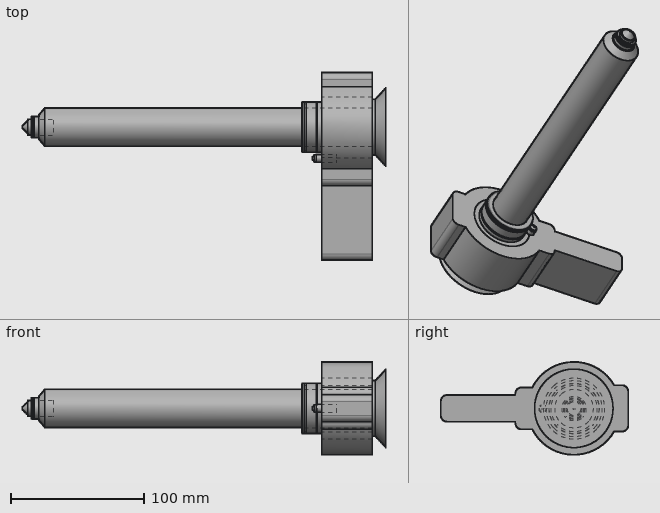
import cadquery as cq


TIP_FLAT_DIAMETER = 1.5
TIP_POINT_LENGTH = 4.5
TIP_POINT_DIAMETER = TIP_FLAT_DIAMETER + 2 * TIP_POINT_LENGTH
TIP_STEM_DIAMETER = 12.0
TIP_HEAD_START = 6.8
TIP_HEAD_FACE_DIAMETER = 15.5
TIP_HEAD_DIAMETER = 16.0
TIP_HEAD_CHAMFER_LENGTH = 0.8
TIP_TAIL_LENGTH = 11.0

SHAFT_START = 12.5
SHAFT_CONE_END = 17.2
SHAFT_NOSE_DIAMETER = 18.3
SHAFT_DIAMETER = 29.0

LEVER_START = 224.7
LEVER_WIDTH = 38.2
LEVER_END = LEVER_START + LEVER_WIDTH
HUB_DIAMETER = 70.0
BLOCK_REACH = 41.0
BLOCK_HEIGHT = 35.0
SHOULDER_REACH = 44.0
SHOULDER_HEIGHT = 31.7
HANDLE_REACH = 100.0
HANDLE_HEIGHT = 20.2
BAR_CORNER_RADIUS = 5.0

COLLAR_START = 210.0
COLLAR_FACE_DIAMETER = 36.0
COLLAR_DIAMETER = 38.0
COLLAR_CHAMFER_LENGTH = 0.3
COLLAR_GROOVE_START = 220.5
COLLAR_GROOVE_WIDTH = 0.8
COLLAR_GROOVE_DEPTH = 0.3

TIP_RING_START = 8.5
TIP_RING_WIDTH = 0.8
TIP_RING_THICKNESS = 0.8
COLLAR_RING_START = 211.5
COLLAR_RING_WIDTH = 1.6
COLLAR_RING_THICKNESS = 1.6

BUSHING_DIAMETER = 46.0
CAP_NECK_LENGTH = 2.2
CAP_NECK_DIAMETER = 42.0
CAP_FLARE_DIAMETER = 59.0
CAP_END = 273.0

PIN_OFFSET = 23.5
PIN_START = 217.5
PIN_TIP_DIAMETER = 1.5
PIN_POINT_END = 219.2
PIN_POINT_DIAMETER = 5.0
PIN_NOSE_END = 220.5
PIN_NOSE_DIAMETER = 5.7
PIN_DIAMETER = 6.0
PIN_HOLE_DEPTH = 11.0
PIN_END = LEVER_START + PIN_HOLE_DEPTH


def turned(profile):
    """Solid of revolution about X from (x, diameter) pairs; the profile is closed along the axis."""
    outline = [(profile[0][0], 0)]
    outline += [(x, diameter / 2) for x, diameter in profile]
    outline += [(profile[-1][0], 0)]
    return cq.Workplane("XY").polyline(outline).close().revolve(360, (0, 0, 0), (1, 0, 0))


def cylinder(start, end, diameter):
    return cq.Workplane("YZ", origin=(start, 0, 0)).circle(diameter / 2).extrude(end - start)


def ring(start, width, thickness, outer_diameter):
    """Flat ring about X; it also serves to cut the groove that it fills."""
    inner_diameter = outer_diameter - 2 * thickness
    end = start + width
    return cylinder(start, end, outer_diameter).cut(cylinder(start, end, inner_diameter))


def make_tip_ring():
    return ring(TIP_RING_START, TIP_RING_WIDTH, TIP_RING_THICKNESS, TIP_HEAD_DIAMETER)


def make_tip():
    tail_end = SHAFT_START + TIP_TAIL_LENGTH
    body = turned([
        (0, TIP_FLAT_DIAMETER),
        (TIP_POINT_LENGTH, TIP_POINT_DIAMETER),
        (TIP_POINT_LENGTH, TIP_STEM_DIAMETER),
        (TIP_HEAD_START, TIP_STEM_DIAMETER),
        (TIP_HEAD_START, TIP_HEAD_FACE_DIAMETER),
        (TIP_HEAD_START + TIP_HEAD_CHAMFER_LENGTH, TIP_HEAD_DIAMETER),
        (SHAFT_START, TIP_HEAD_DIAMETER),
        (SHAFT_START, TIP_STEM_DIAMETER),
        (tail_end, TIP_STEM_DIAMETER),
    ])
    return body.cut(make_tip_ring())


def make_shaft():
    body = turned([
        (SHAFT_START, SHAFT_NOSE_DIAMETER),
        (SHAFT_CONE_END, SHAFT_DIAMETER),
        (LEVER_END, SHAFT_DIAMETER),
    ])
    return body.cut(cylinder(SHAFT_START, SHAFT_START + TIP_TAIL_LENGTH, TIP_STEM_DIAMETER))


def make_collar_ring():
    return ring(COLLAR_RING_START, COLLAR_RING_WIDTH, COLLAR_RING_THICKNESS, COLLAR_DIAMETER)


def make_collar():
    body = turned([
        (COLLAR_START, COLLAR_FACE_DIAMETER),
        (COLLAR_START + COLLAR_CHAMFER_LENGTH, COLLAR_DIAMETER),
        (LEVER_START, COLLAR_DIAMETER),
    ])
    rear_groove = ring(COLLAR_GROOVE_START, COLLAR_GROOVE_WIDTH, COLLAR_GROOVE_DEPTH, COLLAR_DIAMETER)
    bore = cylinder(COLLAR_START, LEVER_START, SHAFT_DIAMETER)
    return body.cut(bore).cut(rear_groove).cut(make_collar_ring())


def pin_hole():
    return cylinder(LEVER_START, PIN_END, PIN_DIAMETER).translate((0, -PIN_OFFSET, 0))


def make_pin():
    body = turned([
        (PIN_START, PIN_TIP_DIAMETER),
        (PIN_POINT_END, PIN_POINT_DIAMETER),
        (PIN_POINT_END, PIN_NOSE_DIAMETER),
        (PIN_NOSE_END, PIN_NOSE_DIAMETER),
        (PIN_NOSE_END, PIN_DIAMETER),
        (PIN_END, PIN_DIAMETER),
    ])
    return body.translate((0, -PIN_OFFSET, 0))


def make_bushing():
    body = cylinder(LEVER_START, LEVER_END, BUSHING_DIAMETER)
    bore = cylinder(LEVER_START, LEVER_END, SHAFT_DIAMETER)
    return body.cut(bore).cut(pin_hole())


def lever_bar(side, reach, height):
    """Bar from the axis out to `reach` on the +Y (side 1) or -Y (side -1) side, with round outer corners."""
    bar = cq.Workplane("XY").box(LEVER_WIDTH, reach, height)
    outer_face = ">Y" if side > 0 else "<Y"
    bar = bar.faces(outer_face).edges("|X").fillet(BAR_CORNER_RADIUS)
    return bar.translate((LEVER_START + LEVER_WIDTH / 2, side * reach / 2, 0))


def make_lever():
    body = cylinder(LEVER_START, LEVER_END, HUB_DIAMETER)
    body = body.union(lever_bar(1, BLOCK_REACH, BLOCK_HEIGHT))
    body = body.union(lever_bar(-1, SHOULDER_REACH, SHOULDER_HEIGHT))
    body = body.union(lever_bar(-1, HANDLE_REACH, HANDLE_HEIGHT))
    bore = cylinder(LEVER_START, LEVER_END, BUSHING_DIAMETER)
    return body.cut(bore).cut(pin_hole())


def make_cap():
    neck_end = LEVER_END + CAP_NECK_LENGTH
    return turned([
        (LEVER_END, CAP_NECK_DIAMETER),
        (neck_end, CAP_NECK_DIAMETER),
        (CAP_END, CAP_FLARE_DIAMETER),
    ])


tip = make_tip()
tip_ring = make_tip_ring()
shaft = make_shaft()
collar = make_collar()
collar_ring = make_collar_ring()
pin = make_pin()
bushing = make_bushing()
lever = make_lever()
cap = make_cap()

result = cq.Compound.makeCompound([
    tip.val(),
    tip_ring.val(),
    shaft.val(),
    collar.val(),
    collar_ring.val(),
    pin.val(),
    bushing.val(),
    lever.val(),
    cap.val(),
])